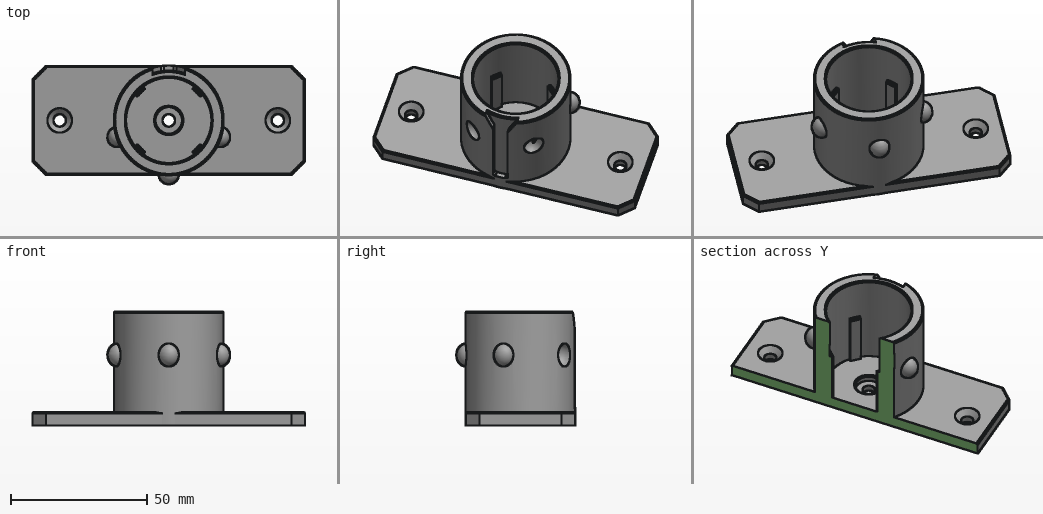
import cadquery as cq
import math

plate_length = 100.0
plate_width = 40.0
plate_thickness = 5.0
plate_corner_cut = 5.0
edge_chamfer = 0.5

screw_diameter = 4.5
countersink_diameter = 9.0
countersink_angle = 90.0
screw_offset = 40.0

total_height = 41.9
tube_radius = 40.3 / 2
bore_radius = 31.3 / 2
socket_floor_z = plate_thickness

recess_radius = 9.75 / 2
recess_depth = 2.5

rib_count = 4
rib_width = 4.0
rib_top_z = 25.0
rib_projection = 1.25
rib_first_angle = 45.0

keyway_floor_radius = 18.25
keyway_width = 5.6
keyway_mouth_width = 12.0
keyway_flare_angle = 63.0
keyway_bottom_z = 6.5
keyway_bottom_chamfer_width = 1.0
keyway_bottom_chamfer_angle = 25.0

detent_count = 5
detent_z = total_height - 16.0
detent_half_width = 3.73
detent_half_height = 4.25
bump_protrusion = 3.39
bump_angle = -90.0


def turn(body, angle):
    """Turn a body about the tube axis."""
    return body.rotate((0, 0, 0), (0, 0, 1), angle)


def make_plate():
    plate = cq.Workplane("XY").rect(plate_length, plate_width).extrude(plate_thickness)
    plate = plate.edges("|Z").chamfer(plate_corner_cut)
    return plate.faces(">Z").edges().chamfer(edge_chamfer)


def make_chamfered_cylinder(radius):
    """Full-height cylinder with its top edge chamfered."""
    cylinder = cq.Workplane("XY").circle(radius).extrude(total_height)
    return cylinder.faces(">Z").edges().chamfer(edge_chamfer)


def make_socket_cavity():
    """Bore, screw recess and centre screw hole, with both mouths chamfered."""
    recess_floor_z = socket_floor_z - recess_depth
    half_profile = [
        (0, 0),
        (screw_diameter / 2, 0),
        (screw_diameter / 2, recess_floor_z),
        (recess_radius, recess_floor_z),
        (recess_radius, socket_floor_z - edge_chamfer),
        (recess_radius + edge_chamfer, socket_floor_z),
        (bore_radius, socket_floor_z),
        (bore_radius, total_height - edge_chamfer),
        (bore_radius + edge_chamfer, total_height),
        (0, total_height),
    ]
    return cq.Workplane("XZ").polyline(half_profile).close().revolve(360, (0, 0), (0, 1))


def make_rib(angle):
    """Rib rooted in the tube wall, chamfered along the top of its inner face."""
    inner_distance = bore_radius - rib_projection
    root_distance = (bore_radius + keyway_floor_radius) / 2
    rib_height = rib_top_z - socket_floor_z
    rib = (
        cq.Workplane("XY")
        .box(root_distance - inner_distance, rib_width, rib_height, centered=(False, True, False))
        .edges("<X and >Z")
        .chamfer(edge_chamfer)
        .translate((inner_distance, 0, socket_floor_z))
    )
    return turn(rib, angle)


def make_keyway():
    """Slot in the outside of the tube with a flared mouth and a chamfered bottom."""
    half_width = keyway_width / 2
    half_mouth = keyway_mouth_width / 2
    half_bottom = half_width - keyway_bottom_chamfer_width
    bottom_rise = keyway_bottom_chamfer_width * math.tan(math.radians(keyway_bottom_chamfer_angle))
    flare_height = (half_mouth - half_width) * math.tan(math.radians(keyway_flare_angle))
    right_side = [
        (half_bottom, keyway_bottom_z),
        (half_width, keyway_bottom_z + bottom_rise),
        (half_width, total_height - flare_height),
        (half_mouth, total_height),
    ]
    left_side = [(-x, z) for x, z in reversed(right_side)]
    slot = cq.Workplane("XZ").polyline(right_side + left_side).close().extrude(-plate_width)
    return slot.cut(make_chamfered_cylinder(keyway_floor_radius))


def make_detent(angle):
    """Upright ellipsoid centred just under the tube surface."""
    center_radius = tube_radius + bump_protrusion - detent_half_width
    ellipsoid = (
        cq.Workplane("XZ")
        .ellipseArc(detent_half_width, detent_half_height, -90, 90, startAtCurrent=False)
        .close()
        .revolve(360, (0, 0), (0, 1))
    )
    return turn(ellipsoid.translate((center_radius, 0, detent_z)), angle)


def cut_plate_screw_holes(body):
    """Countersunk through holes near both ends of the plate."""
    return (
        body.copyWorkplane(cq.Workplane("XY", origin=(0, 0, plate_thickness)))
        .pushPoints([(-screw_offset, 0), (screw_offset, 0)])
        .cskHole(screw_diameter, countersink_diameter, countersink_angle)
    )


result = make_plate().union(make_chamfered_cylinder(tube_radius))
result = cut_plate_screw_holes(result)

result = result.union(make_detent(bump_angle))
for step in range(1, detent_count):
    result = result.cut(make_detent(bump_angle + step * 360 / detent_count))

result = result.cut(make_socket_cavity())
for index in range(rib_count):
    result = result.union(make_rib(rib_first_angle + index * 360 / rib_count))

result = result.cut(make_keyway())